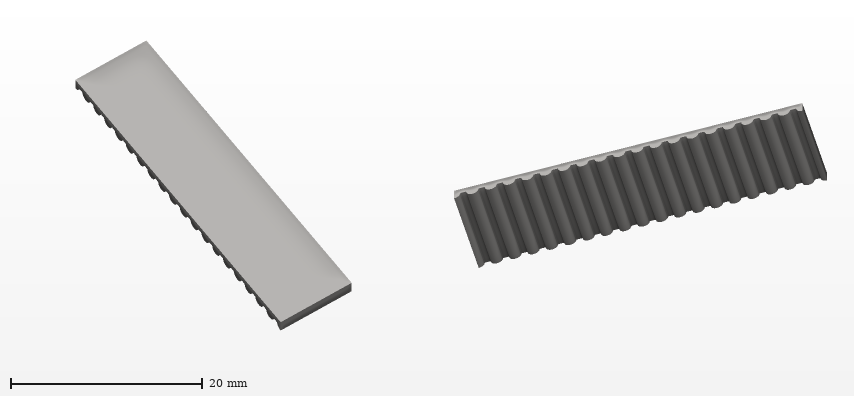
import cadquery as cq
import math

length = 38.0
width = 9.0
height = 1.5

pitch_count = 19
pitch = length / pitch_count

tooth_depth = 0.72
tip_radius = 0.65
flank_radius = 1.0
root_fillet = 0.1

root_z = tooth_depth
tip_center_z = tip_radius
fillet_center_z = root_z - root_fillet

flank_offset = math.sqrt((flank_radius - tip_radius) ** 2 - (root_z - tip_center_z) ** 2)

fillet_center_x = math.sqrt((flank_radius + root_fillet) ** 2 - root_fillet**2) - flank_offset

tip_join_angle = -math.atan2(root_z - tip_center_z, flank_offset)
fillet_join_angle = -math.asin(root_fillet / (flank_radius + root_fillet))


def on_arc(center_x, center_z, radius, angle):
    """Point on a circle in the XZ plane."""
    return (center_x + radius * math.cos(angle), center_z + radius * math.sin(angle))


def half_tooth():
    """Arcs from the tooth tip to the flat root, as (middle, end) points about the tooth middle."""
    tip_mid = on_arc(0, tip_center_z, tip_radius, (tip_join_angle - math.pi / 2) / 2)
    tip_end = on_arc(0, tip_center_z, tip_radius, tip_join_angle)
    flank_mid = on_arc(-flank_offset, root_z, flank_radius, (tip_join_angle + fillet_join_angle) / 2)
    flank_end = on_arc(-flank_offset, root_z, flank_radius, fillet_join_angle)
    fillet_mid_angle = (math.pi / 2 + math.pi + fillet_join_angle) / 2
    fillet_mid = on_arc(fillet_center_x, fillet_center_z, root_fillet, fillet_mid_angle)
    fillet_end = (fillet_center_x, root_z)
    return [(tip_mid, tip_end), (flank_mid, flank_end), (fillet_mid, fillet_end)]


def add_right_half(outline, center_x):
    """Draw the right half of a tooth, from its tip to the root."""
    for (mid_x, mid_z), (end_x, end_z) in half_tooth():
        outline = outline.threePointArc((center_x + mid_x, mid_z), (center_x + end_x, end_z))
    return outline


def add_left_half(outline, center_x):
    """Draw the left half of a tooth, from the root to its tip."""
    arcs = half_tooth()
    mids = [mid for mid, _ in reversed(arcs)]
    ends = [arcs[1][1], arcs[0][1], (0, 0)]
    for (mid_x, mid_z), (end_x, end_z) in zip(mids, ends):
        outline = outline.threePointArc((center_x - mid_x, mid_z), (center_x - end_x, end_z))
    return outline


outline = cq.Workplane("XZ").moveTo(0, 0)
for index in range(pitch_count):
    tooth_x = index * pitch
    next_tooth_x = tooth_x + pitch
    outline = add_right_half(outline, tooth_x)
    outline = outline.lineTo(next_tooth_x - fillet_center_x, root_z)
    outline = add_left_half(outline, next_tooth_x)
outline = outline.lineTo(length, height).lineTo(0, height).close()

result = outline.extrude(-width)